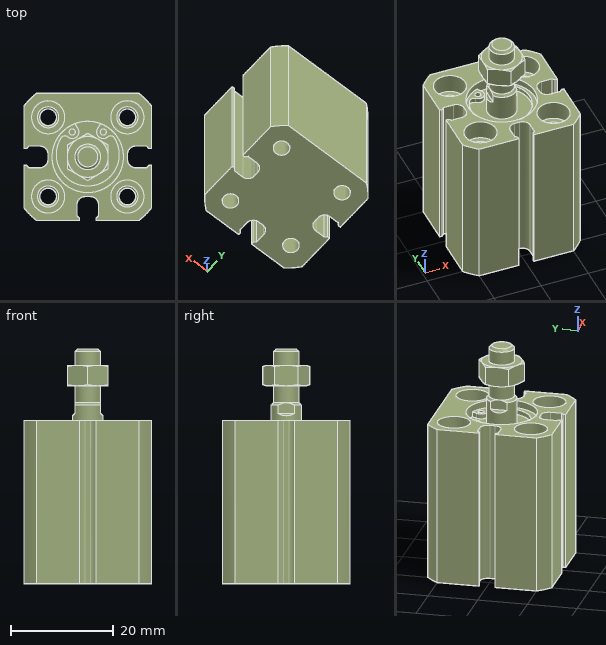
import cadquery as cq
import math


TOTAL_HEIGHT = 46.0
ROD_REACH = 14.0
HOUSING_HEIGHT = TOTAL_HEIGHT - ROD_REACH
HOUSING_WIDTH = 25.0
CORNER_ROUND_DIAMETER = 32.0

MOUNT_PITCH = 15.5
MOUNT_HOLE_DIAMETER = 3.2
COUNTERSINK_DIAMETER = 4.15
COUNTERBORE_DIAMETER = 6.5
COUNTERBORE_DEPTH = 4.0

SLOT_DEPTH = 4.7
SLOT_WIDTH = 4.2
SLOT_MOUTH_WIDTH = 3.2
SLOT_LIP = 0.5
SLOT_END_ROUND = 1.55
SLOT_SIDE_ANGLES = (0, 90, -90)

RECESS_DIAMETER = 14.0
RECESS_DEPTH = 2.5
RECESS_FLOOR = HOUSING_HEIGHT - RECESS_DEPTH
RING_THICKNESS = 1.0
RING_INNER_RADIUS = 6.15
RING_INNER_OFFSET = 0.45
LUG_X = 3.05
LUG_Y = 4.88
LUG_RADIUS = 1.3
LUG_HOLE_DIAMETER = 1.2
LUG_FILLET = 0.87

ROD_DIAMETER = 6.0
THREAD_DIAMETER = 5.0
THREAD_LENGTH = 10.55
THREAD_CHAMFER = 0.55
ROD_FLATS_WIDTH = 5.0
ROD_FLATS_LENGTH = 2.05
ROD_EDGE_CHAMFER = (ROD_DIAMETER - THREAD_DIAMETER) / 2
ROD_FLATS_RUNOUT = 0.7
SHOULDER_Z = TOTAL_HEIGHT - THREAD_LENGTH

NUT_WIDTH = 8.0
NUT_HEIGHT = 4.0
NUT_TOP_GAP = 3.2
NUT_CHAMFER_ANGLE = 20.0
NUT_CORNER_RADIUS = NUT_WIDTH / 2 / math.cos(math.radians(30))
NUT_BOTTOM_Z = TOTAL_HEIGHT - NUT_TOP_GAP - NUT_HEIGHT


def cylinder(diameter, bottom, top):
    return cq.Workplane("XY").workplane(offset=bottom).circle(diameter / 2).extrude(top - bottom)


def sensor_slot():
    """Undercut slot opening through the -Y side."""
    side = -HOUSING_WIDTH / 2
    half_width = SLOT_WIDTH / 2
    half_mouth = SLOT_MOUTH_WIDTH / 2
    lip_inside = side + SLOT_LIP
    full_width = lip_inside + half_width - half_mouth
    slot_end = side + SLOT_DEPTH
    return (
        cq.Workplane("XY")
        .moveTo(-half_mouth, side)
        .lineTo(-half_mouth, lip_inside)
        .lineTo(-half_width, full_width)
        .lineTo(-half_width, slot_end)
        .lineTo(half_width, slot_end)
        .lineTo(half_width, full_width)
        .lineTo(half_mouth, lip_inside)
        .lineTo(half_mouth, side)
        .close()
        .extrude(HOUSING_HEIGHT)
        .edges("|Z and >Y")
        .fillet(SLOT_END_ROUND)
    )


def mounting_hole():
    """Through hole with a countersink at the bottom of a counterbore, on the Z axis."""
    floor = HOUSING_HEIGHT - COUNTERBORE_DEPTH
    hole_radius = MOUNT_HOLE_DIAMETER / 2
    sink_radius = COUNTERSINK_DIAMETER / 2
    bore_radius = COUNTERBORE_DIAMETER / 2
    return (
        cq.Workplane("XZ")
        .lineTo(hole_radius, 0)
        .lineTo(hole_radius, floor - (sink_radius - hole_radius))
        .lineTo(sink_radius, floor)
        .lineTo(bore_radius, floor)
        .lineTo(bore_radius, HOUSING_HEIGHT)
        .lineTo(0, HOUSING_HEIGHT)
        .close()
        .revolve(360, (0, 0, 0), (0, 1, 0))
    )


def right(point):
    """Plane coordinates of a point on the +X half of the ring."""
    return (point.x, point.y)


def left(point):
    """Plane coordinates of the same point mirrored to the -X half."""
    return (-point.x, point.y)


def retaining_ring():
    """Open ring with two pierced lugs, filling the edge of the recess floor."""
    outer_radius = RECESS_DIAMETER / 2
    lug_distance = math.hypot(LUG_X, LUG_Y)
    outward = cq.Vector(LUG_X, LUG_Y) / lug_distance
    across = cq.Vector(-outward.y, outward.x)
    lug_centre = cq.Vector(LUG_X, LUG_Y)
    inner_centre = cq.Vector(0, RING_INNER_OFFSET)

    side_start = lug_centre + across * LUG_RADIUS
    side_end = across * LUG_RADIUS + outward * math.sqrt(outer_radius**2 - LUG_RADIUS**2)

    to_lug = lug_centre - inner_centre
    from_inner = RING_INNER_RADIUS - LUG_FILLET
    from_lug = LUG_RADIUS + LUG_FILLET
    cosine = (to_lug.Length**2 + from_inner**2 - from_lug**2) / (2 * to_lug.Length * from_inner)
    fillet_angle = math.atan2(to_lug.y, to_lug.x) - math.acos(cosine)
    fillet_direction = cq.Vector(math.cos(fillet_angle), math.sin(fillet_angle))
    fillet_centre = inner_centre + fillet_direction * from_inner
    fillet_end = inner_centre + fillet_direction * RING_INNER_RADIUS
    fillet_start = lug_centre + (fillet_centre - lug_centre).normalized() * LUG_RADIUS
    lug_tip = lug_centre - outward * LUG_RADIUS
    fillet_out = (fillet_start + fillet_end) * 0.5 - fillet_centre
    fillet_middle = fillet_centre + fillet_out.normalized() * LUG_FILLET

    inner_bottom = RING_INNER_OFFSET - RING_INNER_RADIUS
    ring = (
        cq.Workplane("XY")
        .workplane(offset=RECESS_FLOOR)
        .moveTo(*right(side_end))
        .lineTo(*right(side_start))
        .threePointArc(right(lug_tip), right(fillet_start))
        .threePointArc(right(fillet_middle), right(fillet_end))
        .threePointArc((0, inner_bottom), left(fillet_end))
        .threePointArc(left(fillet_middle), left(fillet_start))
        .threePointArc(left(lug_tip), left(side_start))
        .lineTo(*left(side_end))
        .threePointArc((0, -outer_radius), right(side_end))
        .close()
        .extrude(RING_THICKNESS)
    )
    for x in (-LUG_X, LUG_X):
        lug_hole = cylinder(LUG_HOLE_DIAMETER, RECESS_FLOOR, HOUSING_HEIGHT)
        ring = ring.cut(lug_hole.translate((x, LUG_Y, 0)))
    return ring


def make_housing():
    block = cq.Workplane("XY").rect(HOUSING_WIDTH, HOUSING_WIDTH).extrude(HOUSING_HEIGHT)
    block = block.intersect(cylinder(CORNER_ROUND_DIAMETER, 0, HOUSING_HEIGHT))
    for angle in SLOT_SIDE_ANGLES:
        block = block.cut(sensor_slot().rotate((0, 0, 0), (0, 0, 1), angle))
    for x in (-MOUNT_PITCH / 2, MOUNT_PITCH / 2):
        for y in (-MOUNT_PITCH / 2, MOUNT_PITCH / 2):
            block = block.cut(mounting_hole().translate((x, y, 0)))
    block = block.cut(cylinder(RECESS_DIAMETER, RECESS_FLOOR, HOUSING_HEIGHT))
    return block.union(retaining_ring())


def rod_flat():
    """Cutter for the wrench flat on the +X side, with a 45 degree run-out at its lower end."""
    flat_x = ROD_FLATS_WIDTH / 2
    flat_bottom = SHOULDER_Z - ROD_FLATS_LENGTH
    return (
        cq.Workplane("XZ")
        .moveTo(flat_x, SHOULDER_Z)
        .lineTo(flat_x, flat_bottom)
        .lineTo(flat_x + ROD_FLATS_RUNOUT, flat_bottom - ROD_FLATS_RUNOUT)
        .lineTo(flat_x + ROD_FLATS_RUNOUT, SHOULDER_Z)
        .close()
        .extrude(ROD_DIAMETER / 2, both=True)
    )


def make_rod():
    """Rod standing on the recess floor, with a threaded end and two wrench flats."""
    rod = cylinder(ROD_DIAMETER, RECESS_FLOOR, SHOULDER_Z).faces(">Z").chamfer(ROD_EDGE_CHAMFER)
    rod = rod.cut(rod_flat()).cut(rod_flat().mirror("YZ"))
    thread = cylinder(THREAD_DIAMETER, SHOULDER_Z, TOTAL_HEIGHT).faces(">Z").chamfer(THREAD_CHAMFER)
    return rod.union(thread)


def make_nut():
    """Hexagon nut whose corners are cut back by a shallow cone at both ends."""
    hexagon = (
        cq.Workplane("XY")
        .polygon(6, 2 * NUT_CORNER_RADIUS)
        .extrude(NUT_HEIGHT)
        .rotate((0, 0, 0), (0, 0, 1), 90)
    )
    face_radius = NUT_WIDTH / 2
    corner_drop = (NUT_CORNER_RADIUS - face_radius) * math.tan(math.radians(NUT_CHAMFER_ANGLE))
    envelope = (
        cq.Workplane("XZ")
        .lineTo(face_radius, 0)
        .lineTo(NUT_CORNER_RADIUS, corner_drop)
        .lineTo(NUT_CORNER_RADIUS, NUT_HEIGHT - corner_drop)
        .lineTo(face_radius, NUT_HEIGHT)
        .lineTo(0, NUT_HEIGHT)
        .close()
        .revolve(360, (0, 0, 0), (0, 1, 0))
    )
    bore = cylinder(THREAD_DIAMETER, 0, NUT_HEIGHT)
    return hexagon.intersect(envelope).cut(bore).translate((0, 0, NUT_BOTTOM_Z))


housing = make_housing()
rod = make_rod()
nut = make_nut()

result = cq.Compound.makeCompound([housing.val(), rod.val(), nut.val()])